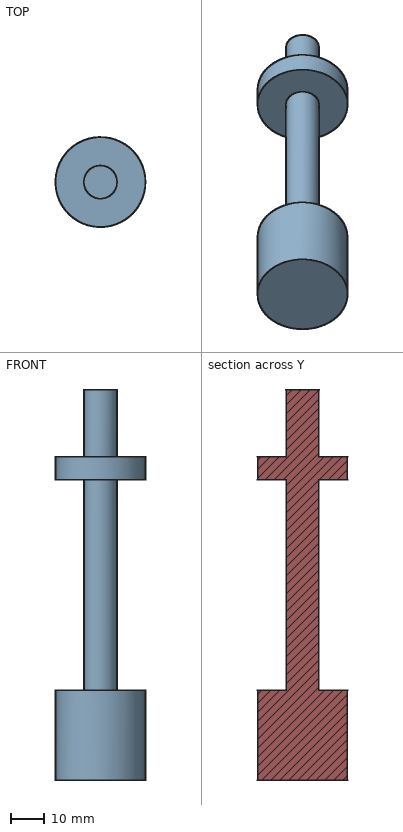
import cadquery as cq

total_length = 117.0
shaft_diameter = 10.0
head_diameter = 27.0
head_height = 27.0
collar_diameter = head_diameter
collar_thickness = 7.0
shaft_end_length = 20.0

collar_base = total_length - shaft_end_length - collar_thickness


def cylinder(diameter, height, base=0.0):
    """Solid cylinder on the Z axis, starting at height base."""
    return cq.Workplane("XY").workplane(offset=base).circle(diameter / 2).extrude(height)


head = cylinder(head_diameter, head_height)
shaft = cylinder(shaft_diameter, total_length)
collar = cylinder(collar_diameter, collar_thickness, collar_base)

result = head.union(shaft).union(collar)